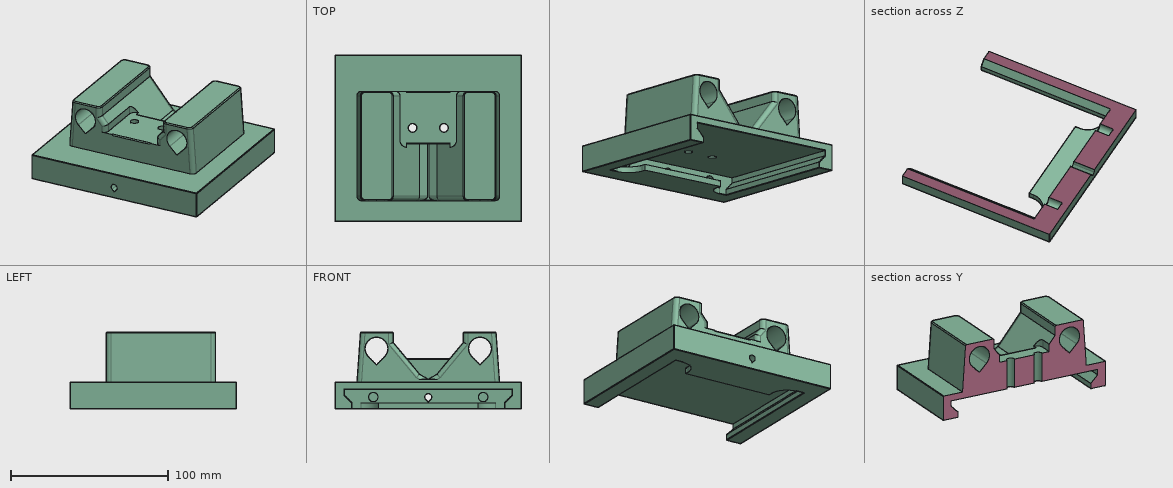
import cadquery as cq
import math

WIDTH = 119
LENGTH = 106.0
HEIGHT = 49.0
BASE_HEIGHT = 17.0
EDGE_CHAMFER = 0.4

DIAGONAL = math.sqrt(0.5)

TOLERANCE = 0.01

CHANNEL_HALF_WIDTH = 53.4
CHANNEL_HEIGHT = 12.3
FLANK_TOP = 8.8
FLANK_BOTTOM = 3.8
LIP_HALF_WIDTH = CHANNEL_HALF_WIDTH - (FLANK_TOP - FLANK_BOTTOM)
END_WALL = 15.0
WALL_FACE = LENGTH / 2 - END_WALL

TONGUE_HALF_WIDTH = 31.7
TONGUE_FLARE = 11.3
TONGUE_LENGTH = 14.3
TONGUE_HEIGHT = 3.8

WALL_HOLE_HEIGHT = 7.5
PIN_HOLE_DIAMETER = 6
PIN_HOLE_DEPTH = 9.5
PIN_HOLE_X = 35.0
SCREW_HOLE_DIAMETER = 4.3

BLOCK_FRONT = -39.7
BLOCK_LENGTH = 69.7
BLOCK_BACK = BLOCK_FRONT + BLOCK_LENGTH
BLOCK_HALF_WIDTH = 45.5
BLOCK_DRAFT = math.tan(math.radians(4))
CORNER_RADIUS = 3.0
RIM_CHAMFER = 0.7
VALLEY_HALF_WIDTH = 22.3
VALLEY_SHOULDER = 42.2
VALLEY_BEND_X = 5.6
VALLEY_BEND_Z = 22.1
VALLEY_APEX = 18.8
FLOOR_HEIGHT = 19

ROD_X = 33.0
ROD_HEIGHT = 38.3
ROD_DIAMETER = 14.4

PAD_HEIGHT = 32.0
PAD_FRONT = -3.6
PAD_CHAMFER = 0.7
POCKET_HALF_WIDTH = 18.0
PAD_HALF_WIDTH = POCKET_HALF_WIDTH + CORNER_RADIUS
POCKET_FRONT = -5.7
POCKET_RADIUS = 4.4
PAD_HOLE_DIAMETER = 5.4
PAD_HOLE_X = 10.0
PAD_HOLE_Y = 6.7


def extrude_along_y(profile, start, end):
    """Extrude a closed XZ profile from y = start to y = end."""
    return profile.extrude(start - end).translate((0, start, 0))


def box(half_width, front, back, bottom, top):
    """Box centred on X."""
    size = (2 * half_width, back - front, top - bottom)
    return cq.Workplane("XY").box(*size, centered=(True, False, False)).translate((0, front, bottom))


def mirrored(points):
    """Close a half outline given at positive X with its mirror image."""
    return points + [(-x, z) for x, z in reversed(points) if x != 0]


def half_width_at(z):
    """Outer half width of the drafted saddle block at height z."""
    return BLOCK_HALF_WIDTH - (z - BASE_HEIGHT) * BLOCK_DRAFT


def teardrop(x, z, diameter, start, end):
    """Bore along Y with a 45 degree point at its lower side."""
    reach = diameter / 2 * DIAGONAL
    tip = diameter / 2 / DIAGONAL
    profile = (
        cq.Workplane("XZ", origin=(x, 0, z))
        .moveTo(0, -tip)
        .lineTo(reach, -reach)
        .threePointArc((0, diameter / 2), (-reach, -reach))
        .close()
    )
    return extrude_along_y(profile, start, end)


def make_base():
    """Base plate with the dovetail channel and all outer edges chamfered."""
    plate = box(WIDTH / 2, -LENGTH / 2, LENGTH / 2, 0, BASE_HEIGHT)
    outline = mirrored([
        (LIP_HALF_WIDTH, 0),
        (LIP_HALF_WIDTH, FLANK_BOTTOM),
        (CHANNEL_HALF_WIDTH, FLANK_TOP),
        (CHANNEL_HALF_WIDTH, CHANNEL_HEIGHT),
    ])
    profile = cq.Workplane("XZ").polyline(outline).close()
    channel = extrude_along_y(profile, -LENGTH / 2, WALL_FACE)
    base = plate.cut(channel)
    return base.faces("<Y or >Y or <Z or >Z").chamfer(EDGE_CHAMFER)


def make_tongue():
    """Foot plate whose root overlaps the chamfered lower edge of the end wall."""
    tip = WALL_FACE - TONGUE_LENGTH
    root = TONGUE_HALF_WIDTH + TONGUE_FLARE
    flare_start = WALL_FACE - TONGUE_FLARE
    bulge = TONGUE_FLARE * (1 - DIAGONAL)
    return (
        cq.Workplane("XY")
        .moveTo(-TONGUE_HALF_WIDTH, tip)
        .lineTo(TONGUE_HALF_WIDTH, tip)
        .lineTo(TONGUE_HALF_WIDTH, flare_start)
        .threePointArc((TONGUE_HALF_WIDTH + bulge, WALL_FACE - bulge), (root, WALL_FACE))
        .lineTo(root, WALL_FACE + EDGE_CHAMFER)
        .lineTo(-root, WALL_FACE + EDGE_CHAMFER)
        .lineTo(-root, WALL_FACE)
        .threePointArc((-TONGUE_HALF_WIDTH - bulge, WALL_FACE - bulge), (-TONGUE_HALF_WIDTH, flare_start))
        .close()
        .extrude(TONGUE_HEIGHT)
    )


def make_pocket():
    """Clearance above the pad, rounded at its front corners and open at the back."""
    pocket = box(POCKET_HALF_WIDTH, POCKET_FRONT, BLOCK_BACK, PAD_HEIGHT, HEIGHT)
    return pocket.edges("|Z and <Y").fillet(POCKET_RADIUS)


def is_rounded_at_back(middle):
    """True for back edges above the pad level and for the drafted outer corners."""
    outer_corner = CHANNEL_HEIGHT < middle.z < HEIGHT and abs(middle.x) > ROD_X
    above_pad = middle.z - PAD_HEIGHT > TOLERANCE and middle.z < HEIGHT
    return outer_corner or above_pad


def make_saddle():
    """Drafted block with the valley and pad pocket cut out; its foot sinks into the base plate."""
    foot = CHANNEL_HEIGHT
    outline = mirrored([
        (half_width_at(foot), foot),
        (half_width_at(HEIGHT), HEIGHT),
        (VALLEY_HALF_WIDTH, HEIGHT),
        (VALLEY_HALF_WIDTH, VALLEY_SHOULDER),
        (VALLEY_BEND_X, VALLEY_BEND_Z),
        (0, VALLEY_APEX),
    ])
    profile = cq.Workplane("XZ").polyline(outline).close()
    saddle = extrude_along_y(profile, BLOCK_FRONT, BLOCK_BACK).cut(make_pocket())

    front_edges = saddle.faces("<Y").edges().vals()
    back_edges = saddle.faces(">Y").edges().vals()
    rounded = [edge for edge in front_edges if foot < edge.Center().z < HEIGHT]
    rounded += [edge for edge in back_edges if is_rounded_at_back(edge.Center())]
    saddle = saddle.newObject(rounded).fillet(CORNER_RADIUS)
    return saddle.faces(">Z").chamfer(RIM_CHAMFER)


def make_floor():
    """Low slab that levels the bottom of the valley."""
    floor = box(VALLEY_HALF_WIDTH, BLOCK_FRONT, BLOCK_BACK, CHANNEL_HEIGHT, FLOOR_HEIGHT)
    return floor.edges(">Z and |X").chamfer(EDGE_CHAMFER)


def make_pad():
    """Level pad filling the valley below the pocket."""
    pad = box(PAD_HALF_WIDTH, PAD_FRONT, BLOCK_BACK, CHANNEL_HEIGHT, PAD_HEIGHT)
    return pad.edges(">Z and |X").chamfer(PAD_CHAMFER)


body = make_base().union(make_tongue()).union(make_saddle()).union(make_floor()).union(make_pad())

for side in (-1, 1):
    body = body.cut(teardrop(side * ROD_X, ROD_HEIGHT, ROD_DIAMETER, BLOCK_FRONT, BLOCK_BACK))
    pin_hole = (
        cq.Workplane("XZ", origin=(side * PIN_HOLE_X, 0, WALL_HOLE_HEIGHT))
        .circle(PIN_HOLE_DIAMETER / 2)
    )
    body = body.cut(extrude_along_y(pin_hole, WALL_FACE, WALL_FACE + PIN_HOLE_DEPTH))
    pad_hole = (
        cq.Workplane("XY", origin=(side * PAD_HOLE_X, PAD_HOLE_Y, 0))
        .circle(PAD_HOLE_DIAMETER / 2)
        .extrude(HEIGHT)
    )
    body = body.cut(pad_hole)

result = body.cut(teardrop(0, WALL_HOLE_HEIGHT, SCREW_HOLE_DIAMETER, WALL_FACE, LENGTH / 2))